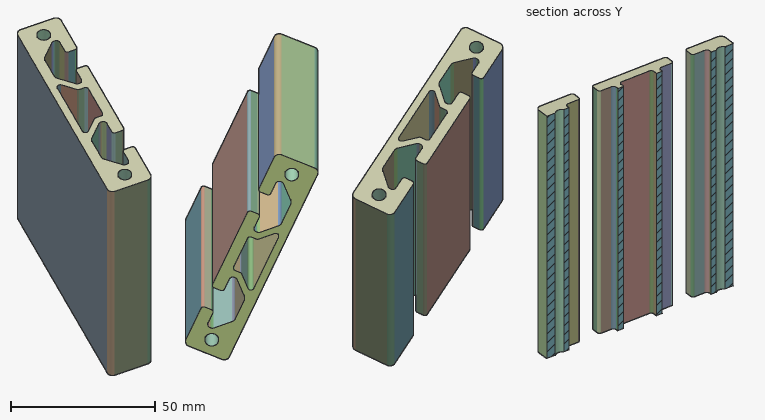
import cadquery as cq

width = 80.0
thickness = 16.5
length = 100.0
edge_radius = 2.0

slot_spacing = 40.0
slot_opening = 8.0
lip_thickness = 4.5
slot_depth = 12.5
cavity_width = 21.0
cavity_floor_width = 9.4
mouth_radius = 1.0
lip_inner_radius = 1.0
cavity_side_radius = 1.3
cavity_floor_radius = 2.0

hollow_top_width = 14.0
hollow_roof = 4.0
hollow_floor = 2.8
hollow_side_height = 3.4
hollow_radius = 1.0
hollow_foot_radius = 1.1

hole_diameter = 4.8
hole_edge_distance = 5.5

back_y = thickness / 2
front_y = -thickness / 2


def symmetric_prism(half_outline):
    """Extrude an outline given by its +X half, mirrored about X = 0."""
    mirrored = [(-x, y) for x, y in reversed(half_outline)]
    return cq.Workplane("XY").polyline(half_outline + mirrored).close().extrude(length)


def fillet_corners(body, corners, radius):
    """Round the lengthwise edges at the given corners and their mirror images."""
    for x, y in corners:
        for edge_x in (x, -x):
            point = (edge_x, y, length / 2)
            body = body.edges(cq.selectors.NearestToPointSelector(point)).fillet(radius)
    return body


def make_block():
    block = cq.Workplane("XY").rect(width, thickness).extrude(length)
    return block.edges("|Z").fillet(edge_radius)


def make_slot():
    """T-slot cavity with 45 degree lower flanks, open at the +Y face."""
    lip_y = back_y - lip_thickness
    floor_y = back_y - slot_depth
    flank_run = (cavity_width - cavity_floor_width) / 2
    lip_corner = (slot_opening / 2, lip_y)
    side_top = (cavity_width / 2, lip_y)
    side_bottom = (cavity_width / 2, floor_y + flank_run)
    floor_corner = (cavity_floor_width / 2, floor_y)
    mouth_corner = (slot_opening / 2, back_y)
    slot = symmetric_prism([mouth_corner, lip_corner, side_top, side_bottom, floor_corner])
    slot = fillet_corners(slot, [side_top, side_bottom], cavity_side_radius)
    slot = fillet_corners(slot, [floor_corner], cavity_floor_radius)
    return fillet_corners(slot, [lip_corner], lip_inner_radius)


def make_hollow():
    """Closed channel with 45 degree flanks that spread toward the -Y face."""
    roof_y = back_y - hollow_roof
    floor_y = front_y + hollow_floor
    bend_y = roof_y - hollow_side_height
    flank_run = bend_y - floor_y
    roof_corner = (hollow_top_width / 2, roof_y)
    bend = (hollow_top_width / 2, bend_y)
    foot = (hollow_top_width / 2 + flank_run, floor_y)
    hollow = symmetric_prism([roof_corner, bend, foot])
    hollow = fillet_corners(hollow, [roof_corner, bend], hollow_radius)
    return fillet_corners(hollow, [foot], hollow_foot_radius)


body = make_block().cut(make_hollow())
slot = make_slot()
for side in (-1, 1):
    body = body.cut(slot.translate((side * slot_spacing / 2, 0, 0)))

mouth_offsets = (slot_spacing / 2 - slot_opening / 2, slot_spacing / 2 + slot_opening / 2)
body = fillet_corners(body, [(x, back_y) for x in mouth_offsets], mouth_radius)

hole_x = width / 2 - hole_edge_distance
holes = cq.Workplane("XY").pushPoints([(-hole_x, 0), (hole_x, 0)]).circle(hole_diameter / 2).extrude(length)
result = body.cut(holes)